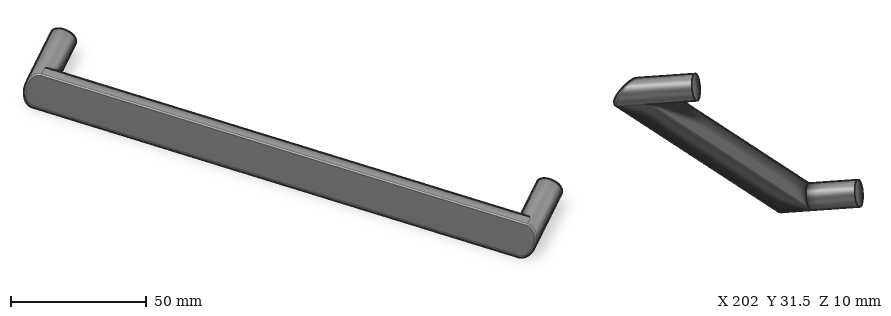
import cadquery as cq
import math

length = 202.0
depth = 31.5
height = 10.0
post_radius = height / 2
post_spacing = length - height

back_position = 12.7
back_edge_radius = 0.6
edge_radius = 1.0

tip_position = -edge_radius * math.sqrt(2)


def post(x):
    """Round post running along Y from its mounting end to the sharp tip."""
    return (
        cq.Workplane("XZ", origin=(x, depth, post_radius))
        .circle(post_radius)
        .extrude(depth - tip_position)
    )


def bar():
    """Straight grip with its two long back edges rounded."""
    return (
        cq.Workplane("XY", origin=(0, tip_position, 0))
        .box(post_spacing, back_position - tip_position, height, centered=(True, False, False))
        .edges("|X and >Y")
        .fillet(back_edge_radius)
    )


def front_wedge():
    """Waste in front of the 45 degree face, wider than the handle."""
    return (
        cq.Workplane("YZ")
        .moveTo(tip_position, 0)
        .lineTo(tip_position + height, height)
        .lineTo(tip_position, height)
        .close()
        .extrude(length, both=True)
    )


handle = bar()
for side in (-1, 1):
    handle = handle.union(post(side * post_spacing / 2))
handle = handle.cut(front_wedge())

slope_normal = cq.Vector(0, -1, 1)
front_face = cq.selectors.DirectionMinMaxSelector(slope_normal)
result = handle.faces(front_face).edges().fillet(edge_radius)